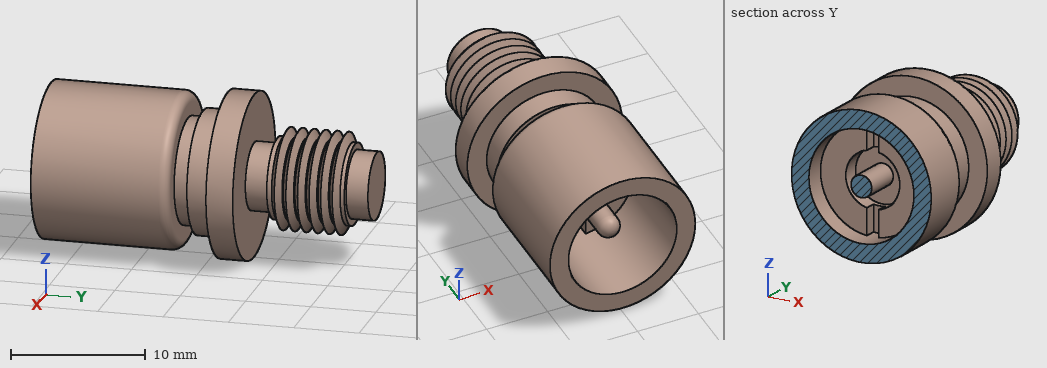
import cadquery as cq

TOTAL_LENGTH = 24.95

SLEEVE_RADIUS = 5.95
SLEEVE_LENGTH = 10.5
SLEEVE_FILLET = 0.75
BORE_RADIUS = 4.45
BORE_DEPTH = 7.48

NECK_RADIUS = 4.1
NECK_END = 11.65
SHOULDER_RADIUS = 4.76
SHOULDER_END = 13.52
FLANGE_DIAMETER = 12.7
FLANGE_RADIUS = FLANGE_DIAMETER / 2
FLANGE_END = 15.56

STEM_RADIUS = 2.6
THREAD_ROOT_RADIUS = 3.12
THREAD_CREST_RADIUS = 3.87
THREAD_START = 17.33
THREAD_END = 23.27
FIRST_CREST = 18.1
LAST_CREST = 22.55
RIDGE_COUNT = 6
PITCH = (LAST_CREST - FIRST_CREST) / (RIDGE_COUNT - 1)
RIDGE_HALF_WIDTH = 0.4

RING_INNER_RADIUS = 2.3
RING_DEPTH = 1.5
SLOT_WIDTH = 1
SLOT_DEPTH = 1

PIN_RADIUS = 0.9
PIN_TIP = 1.7
PIN_TIP_FLAT_RADIUS = 0.07


def cylinder(radius, start, end):
    """Solid cylinder on the Y axis between two Y positions."""
    plane = cq.Workplane("XZ", origin=(0, start, 0))
    return plane.circle(radius).extrude(start - end)


def thread_ridge(crest):
    """Ring-shaped V ridge whose sharp edge lies at y = crest."""
    outline = [
        (0, crest - RIDGE_HALF_WIDTH),
        (THREAD_ROOT_RADIUS, crest - RIDGE_HALF_WIDTH),
        (THREAD_CREST_RADIUS, crest),
        (THREAD_ROOT_RADIUS, crest + RIDGE_HALF_WIDTH),
        (0, crest + RIDGE_HALF_WIDTH),
    ]
    return cq.Workplane("XY").polyline(outline).close().revolve(360, (0, 0, 0), (0, 1, 0))


def outer_body():
    sleeve = cylinder(SLEEVE_RADIUS, 0, SLEEVE_LENGTH)
    body = sleeve.faces(">Y").edges().fillet(SLEEVE_FILLET)
    body = body.union(cylinder(NECK_RADIUS, SLEEVE_LENGTH, NECK_END))
    body = body.union(cylinder(SHOULDER_RADIUS, NECK_END, SHOULDER_END))
    body = body.union(cylinder(FLANGE_RADIUS, SHOULDER_END, FLANGE_END))
    body = body.union(cylinder(STEM_RADIUS, FLANGE_END, TOTAL_LENGTH))
    body = body.union(cylinder(THREAD_ROOT_RADIUS, THREAD_START, THREAD_END))
    for index in range(RIDGE_COUNT):
        body = body.union(thread_ridge(FIRST_CREST + index * PITCH))
    return body


def socket_cavity():
    """Bore, the recess inside the contact ring, and the slots across that ring."""
    bore = cylinder(BORE_RADIUS, 0, BORE_DEPTH)
    recess = cylinder(RING_INNER_RADIUS, BORE_DEPTH, BORE_DEPTH + RING_DEPTH)
    slot_bar = cq.Workplane("XY").box(SLOT_WIDTH, SLOT_DEPTH, 2 * BORE_RADIUS)
    slot_bar = slot_bar.translate((0, BORE_DEPTH + SLOT_DEPTH / 2, 0))
    slots = slot_bar.intersect(cylinder(BORE_RADIUS, BORE_DEPTH, BORE_DEPTH + SLOT_DEPTH))
    return bore.union(recess).union(slots)


def centre_pin():
    pin = cylinder(PIN_RADIUS, PIN_TIP, SLEEVE_LENGTH)
    return pin.faces("<Y").edges().fillet(PIN_RADIUS - PIN_TIP_FLAT_RADIUS)


result = outer_body().cut(socket_cavity()).union(centre_pin())